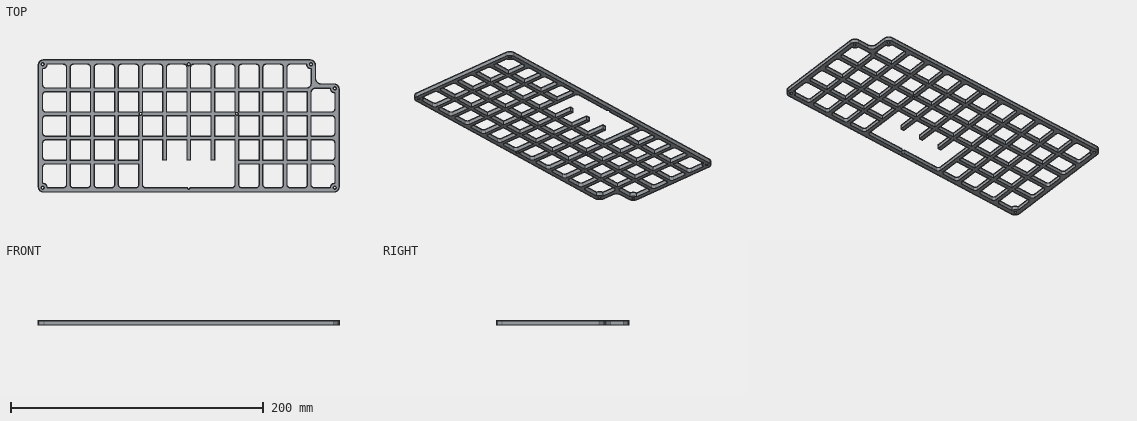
import cadquery as cq

length = 238.1
width = 104.8
thickness = 3.5
outer_radius = 4.5
step_width = 18.8
step_depth = 19.0

pitch = 19.0
columns = 12
rows = 5
rib_width = 3.0
border_width = 3.5
rib_fillet = 2.5
step_fillet = 3.3

hole_diameter = 2.2
hole_inset = 3.5
pad_radius = 3.5
inner_hole_line = 3

bar_first_column = 4
bar_last_column = 7
bar_back_row = 1

left = -length / 2
right = length / 2
front = -width / 2
back = width / 2

step_x = right - step_width
step_y = back - step_depth

last_column = columns - 1
last_row = rows - 1

half_rib = rib_width / 2

joint_reach = 1.5 * half_rib


def grid_x(line):
    """X of a rib centre line, counted from the left side."""
    return (line - columns / 2) * pitch


def grid_y(line):
    """Y of a rib centre line, counted from the front side."""
    return (line - rows / 2) * pitch


def block(x_min, x_max, y_min, y_max):
    """Full-thickness box between the given sides."""
    box = cq.Workplane("XY").box(x_max - x_min, y_max - y_min, thickness, centered=False)
    return box.translate((x_min, y_min, 0))


def posts(points, radius):
    """Full-thickness cylinders at the given places."""
    return cq.Workplane("XY").pushPoints(points).circle(radius).extrude(thickness)


def make_plate():
    """Solid plate with rounded corners and the back right step."""
    outline = [
        (left, front),
        (right, front),
        (right, step_y),
        (step_x, step_y),
        (step_x, back),
        (left, back),
    ]
    plate = cq.Workplane("XY").polyline(outline).close().extrude(thickness)
    return plate.edges("|Z").fillet(outer_radius)


def make_cell(column, row):
    """One key opening, reaching to the border where it lies beside it."""
    x_min = grid_x(column) + half_rib
    x_max = grid_x(column + 1) - half_rib
    y_min = grid_y(row) + half_rib
    y_max = grid_y(row + 1) - half_rib
    if column == 0:
        x_min = left + border_width
    if column == last_column:
        x_max = right - border_width
    elif column == last_column - 1 and row == last_row:
        x_max = step_x - border_width
    if row == 0:
        y_min = front + border_width
    if row == last_row:
        y_max = back - border_width
    elif row == last_row - 1 and column == last_column:
        y_max = step_y - border_width
    return block(x_min, x_max, y_min, y_max)


def is_bar_cell(column, row):
    """True for the cells that the bar opening takes up."""
    return row <= bar_back_row and bar_first_column <= column <= bar_last_column


def make_bar_opening():
    """Long opening over two rows; three rib stubs reach into its back half."""
    x_min = grid_x(bar_first_column) + half_rib
    x_max = grid_x(bar_last_column + 1) - half_rib
    stub_end = grid_y(bar_back_row) + half_rib
    opening = block(x_min, x_max, front + border_width, stub_end)
    for column in range(bar_first_column, bar_last_column + 1):
        opening = opening.union(make_cell(column, bar_back_row))
    return opening


def round_corners(plate, joints, radius):
    """Round the upright edges where ribs run into the border at the given places."""
    corners = []
    for x, y in joints:
        low = (x - joint_reach, y - joint_reach, 0)
        high = (x + joint_reach, y + joint_reach, thickness)
        corners += plate.edges("|Z").edges(cq.selectors.BoxSelector(low, high)).vals()
    return plate.newObject(corners).fillet(radius)


def rib_joints():
    """Places where rib centre lines meet the inner side of the border."""
    joints = []
    for row in range(1, rows):
        joints.append((left + border_width, grid_y(row)))
        if row < last_row:
            joints.append((right - border_width, grid_y(row)))
    for column in range(1, columns):
        if column < last_column:
            joints.append((grid_x(column), back - border_width))
        if not bar_first_column < column <= bar_last_column:
            joints.append((grid_x(column), front + border_width))
    return joints


corner_holes = [
    (left + hole_inset, front + hole_inset),
    (right - hole_inset, front + hole_inset),
    (right - hole_inset, step_y - hole_inset),
    (step_x - hole_inset, back - hole_inset),
    (left + hole_inset, back - hole_inset),
]
inner_holes = [
    (0, front + hole_inset),
    (0, back - hole_inset),
    (grid_x(bar_first_column), grid_y(inner_hole_line)),
    (grid_x(bar_last_column + 1), grid_y(inner_hole_line)),
]

blank = make_plate()
pads = posts(corner_holes, pad_radius).intersect(blank)

result = blank
for c in range(columns):
    for r in range(rows):
        in_step = c == last_column and r == last_row
        if not in_step and not is_bar_cell(c, r):
            result = result.cut(make_cell(c, r))
result = result.cut(make_bar_opening())
result = round_corners(result, rib_joints(), rib_fillet)
step_joint = (step_x - border_width, step_y - border_width)
result = round_corners(result, [step_joint], step_fillet)
result = result.union(pads)
result = result.cut(posts(corner_holes + inner_holes, hole_diameter / 2))